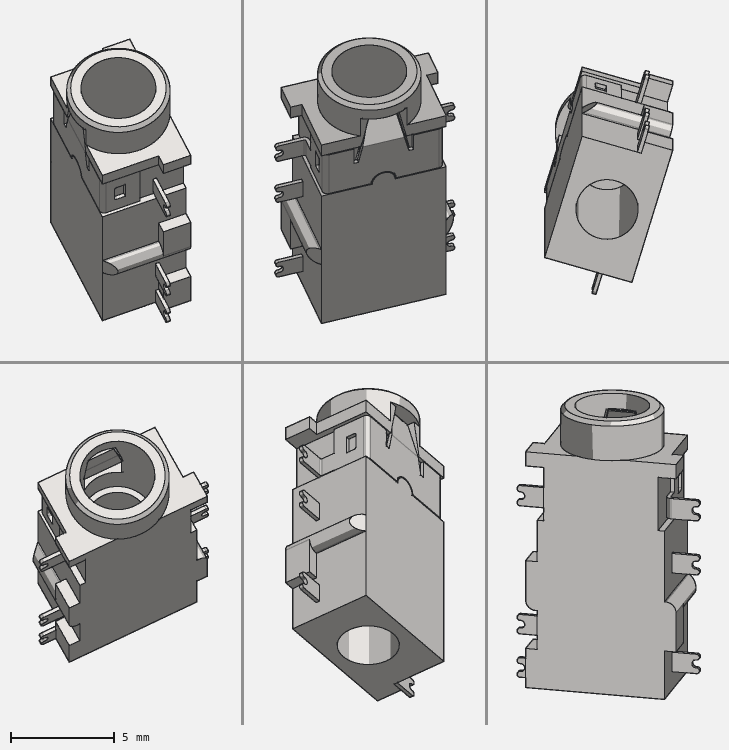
import cadquery as cq

TOTAL_HEIGHT = 14.0
BODY_HALF_WIDTH = 3.18
BODY_DEPTH = 4.4
BACK = BODY_DEPTH / 2
FRONT = -BACK
BLOCK_TOP = 8.6
FLANGE_BOTTOM = 11.31
FLANGE_TOP = 12.04
WING_HALF_WIDTH = 3.75
WING_FRONT = 0.75

BARREL_DIAMETER = 5.0
BARREL_RADIUS = BARREL_DIAMETER / 2
BARREL_CHAMFER = 0.2
FLAT_HALF_WIDTH = 1.2
FLAT_TOP = 13.2
BORE_RADIUS = 1.8
THROUGH_RADIUS = 1.5

RIB_CENTER_Z = 4.48
RIB_RADIUS = 0.5
LUG_HEIGHT = 2.0

BUMP_RADIUS = 0.59
BUMP_CLEARANCE = 0.05

SHEET = 0.2
CLIP_GAP = 0.05
CLIP_HALF_WIDTH = 3.05
CORE_HALF_WIDTH = CLIP_HALF_WIDTH - SHEET
CORE_FRONT = FRONT + SHEET
CLIP_BOTTOM = BLOCK_TOP + CLIP_GAP
CLIP_TOP = FLANGE_BOTTOM - CLIP_GAP
CLIP_BACK = -0.18
CLIP_CORNER_RADIUS = 0.25
WINDOW_BACK = -0.94
WINDOW_FRONT = -1.5
WINDOW_BOTTOM = 9.46
WINDOW_HEIGHT = 0.97
WINDOW_CORNER_RADIUS = 0.11

TONGUE_BOTTOM = 10.29
TONGUE_TIP = 13.12
TONGUE_BOTTOM_HALF_WIDTH = 1.29
TONGUE_TIP_HALF_WIDTH = 0.66
TONGUE_LEAN = 0.32
TONGUE_CLEARANCE = 0.08
SLOT_HALF_WIDTH = 1.51

TAB_TIP = 4.55
TAB_BACK = 0.78
TAB_FRONT = TAB_BACK - SHEET
NOTCH_RADIUS = 0.2
NOTCH_DEPTH = 0.38
PRONG_ROUNDING = 0.48
CLIP_TAB_BOTTOM = 8.75
CLIP_TAB_HEIGHT = 1.04
TAB_BEND_RADIUS = 0.07
TERMINAL_HEIGHT = 1.0
LEFT, RIGHT = -1, 1
TERMINALS = [
    (LEFT, 5.99),
    (LEFT, 0.95),
    (RIGHT, 2.21),
    (RIGHT, 0.0),
]


def block(x0, x1, y0, y1, z0, z1):
    """Box between two opposite corners."""
    return cq.Workplane("XY").box(x1 - x0, y1 - y0, z1 - z0, centered=False).translate((x0, y0, z0))


def mirrored(shape, side):
    """Shape built for +X, placed on the given side."""
    return shape if side == RIGHT else shape.mirror("YZ")


def extrude_y(sketch, y0, y1):
    """Extrude a closed XZ outline from y0 to y1."""
    return sketch.extrude(y0 - y1).translate((0, y0, 0))


def make_rib(side):
    """Round-edged rib along the housing side, its front end mitred at 45 degrees."""
    center_x = WING_HALF_WIDTH - RIB_RADIUS
    root = block(CORE_HALF_WIDTH, center_x, FRONT, BACK,
                 RIB_CENTER_Z - RIB_RADIUS, RIB_CENTER_Z + RIB_RADIUS)
    rib = extrude_y(cq.Workplane("XZ").center(center_x, RIB_CENTER_Z).circle(RIB_RADIUS), FRONT, BACK)
    projection = WING_HALF_WIDTH - BODY_HALF_WIDTH
    mitre = (
        cq.Workplane("XY")
        .moveTo(BODY_HALF_WIDTH, FRONT)
        .lineTo(WING_HALF_WIDTH, FRONT)
        .lineTo(WING_HALF_WIDTH, FRONT + projection)
        .close()
        .extrude(TOTAL_HEIGHT)
    )
    return mirrored(rib.union(root).cut(mitre), side)


def make_lug(side, bottom):
    """Square lug at the back of a housing side."""
    lug = block(CORE_HALF_WIDTH, WING_HALF_WIDTH, WING_FRONT, BACK, bottom, bottom + LUG_HEIGHT)
    return mirrored(lug, side)


def make_barrel():
    """Chamfered barrel with a flat at the front."""
    barrel = (
        cq.Workplane("XY", origin=(0, 0, FLANGE_TOP))
        .circle(BARREL_RADIUS)
        .extrude(TOTAL_HEIGHT - FLANGE_TOP)
        .faces(">Z").chamfer(BARREL_CHAMFER)
    )
    flat = block(-FLAT_HALF_WIDTH, FLAT_HALF_WIDTH, -BARREL_RADIUS, FRONT, FLANGE_TOP, FLAT_TOP)
    return barrel.cut(flat)


def bump_disc(radius):
    """Disc centred on the top front edge of the lower block, reaching back to the core."""
    return extrude_y(cq.Workplane("XZ").center(0, BLOCK_TOP).circle(radius), FRONT, CORE_FRONT)


def tongue_outline(clearance, top):
    """Trapezoid of the tongue, widened by a clearance and ending at the given height."""
    low = TONGUE_BOTTOM_HALF_WIDTH + clearance
    high = TONGUE_TIP_HALF_WIDTH + clearance
    return cq.Workplane("XZ").polyline(
        [(-low, TONGUE_BOTTOM), (low, TONGUE_BOTTOM), (high, top), (-high, top)]
    ).close()


def make_housing(embedded_terminals):
    """Whole housing, recessed wherever a terminal enters it."""
    lower = block(-BODY_HALF_WIDTH, BODY_HALF_WIDTH, FRONT, BACK, 0, BLOCK_TOP)
    core = block(-CORE_HALF_WIDTH, CORE_HALF_WIDTH, CORE_FRONT, BACK, BLOCK_TOP, FLANGE_BOTTOM)
    flange = block(-BODY_HALF_WIDTH, BODY_HALF_WIDTH, FRONT, BACK, FLANGE_BOTTOM, FLANGE_TOP)
    wings = block(-WING_HALF_WIDTH, WING_HALF_WIDTH, WING_FRONT, BACK, FLANGE_BOTTOM, FLANGE_TOP)
    housing = lower.union(core).union(flange).union(wings)
    housing = housing.union(make_barrel()).union(bump_disc(BUMP_RADIUS))

    for side in (LEFT, RIGHT):
        housing = housing.union(make_rib(side))
    lugs = [(LEFT, RIB_CENTER_Z - LUG_HEIGHT), (RIGHT, RIB_CENTER_Z), (RIGHT, 0.0)]
    for side, bottom in lugs:
        housing = housing.union(make_lug(side, bottom))

    bore = cq.Workplane("XY", origin=(0, 0, BLOCK_TOP)).circle(BORE_RADIUS).extrude(TOTAL_HEIGHT - BLOCK_TOP)
    through = cq.Workplane("XY").circle(THROUGH_RADIUS).extrude(BLOCK_TOP)
    pocket = extrude_y(tongue_outline(TONGUE_CLEARANCE, FLAT_TOP), FRONT, -THROUGH_RADIUS)
    housing = housing.cut(bore).cut(through).cut(pocket)
    for terminal in embedded_terminals:
        housing = housing.cut(terminal)
    return housing


def make_tab(side, root_x, bottom, height):
    """Flat solder tab with a round-bottomed notch and rounded prongs."""
    prong_radius = PRONG_ROUNDING * (height / 2 - NOTCH_RADIUS)
    middle = bottom + height / 2
    notch_center = TAB_TIP - NOTCH_DEPTH + NOTCH_RADIUS
    notch_bottom = cq.Workplane("XZ").center(notch_center, middle).circle(NOTCH_RADIUS)
    notch = extrude_y(notch_bottom, TAB_FRONT, TAB_BACK)
    notch = notch.union(block(notch_center, TAB_TIP, TAB_FRONT, TAB_BACK,
                              middle - NOTCH_RADIUS, middle + NOTCH_RADIUS))
    tab = block(root_x, TAB_TIP, TAB_FRONT, TAB_BACK, bottom, bottom + height).cut(notch)
    tab = tab.faces(">X").edges("|Y").fillet(prong_radius)
    return mirrored(tab, side)


def make_clip_arm(side):
    """Strip that runs back from the clip side and bends outward into a solder tab."""
    bend_x = CLIP_HALF_WIDTH + TAB_BEND_RADIUS
    bend_y = TAB_FRONT - TAB_BEND_RADIUS
    outer_radius = TAB_BEND_RADIUS + SHEET
    strip = block(CORE_HALF_WIDTH, CLIP_HALF_WIDTH, CLIP_BACK, bend_y,
                  CLIP_TAB_BOTTOM, CLIP_TAB_BOTTOM + CLIP_TAB_HEIGHT)
    bend = (
        cq.Workplane("XY", origin=(bend_x, bend_y, CLIP_TAB_BOTTOM))
        .circle(outer_radius)
        .circle(TAB_BEND_RADIUS)
        .extrude(CLIP_TAB_HEIGHT)
    )
    quarter = block(CORE_HALF_WIDTH, bend_x, bend_y, TAB_BACK, BLOCK_TOP, FLANGE_BOTTOM)
    arm = mirrored(strip.union(bend.intersect(quarter)), side)
    return arm.union(make_tab(side, bend_x, CLIP_TAB_BOTTOM, CLIP_TAB_HEIGHT))


def make_tongue():
    """Tapered spring tongue leaning inward above the clip."""
    lean = (
        cq.Workplane("YZ")
        .polyline([
            (FRONT, TONGUE_BOTTOM),
            (FRONT, CLIP_TOP),
            (FRONT + TONGUE_LEAN, TONGUE_TIP),
            (FRONT + TONGUE_LEAN + SHEET, TONGUE_TIP),
            (CORE_FRONT, CLIP_TOP),
            (CORE_FRONT, TONGUE_BOTTOM),
        ])
        .close()
        .extrude(SLOT_HALF_WIDTH, both=True)
    )
    return lean.intersect(extrude_y(tongue_outline(0, TONGUE_TIP), FRONT, 0))


def make_clip():
    """U-shaped sheet clip around the core, with tongue, windows and one solder tab."""
    outer = block(-CLIP_HALF_WIDTH, CLIP_HALF_WIDTH, FRONT, CLIP_BACK, CLIP_BOTTOM, CLIP_TOP)
    outer = outer.faces("<Y").edges("|Z").fillet(CLIP_CORNER_RADIUS)
    inside = block(-CORE_HALF_WIDTH, CORE_HALF_WIDTH, CORE_FRONT, CLIP_BACK, CLIP_BOTTOM, CLIP_TOP)
    slot = block(-SLOT_HALF_WIDTH, SLOT_HALF_WIDTH, FRONT, CORE_FRONT, TONGUE_BOTTOM, CLIP_TOP)
    window = block(-CLIP_HALF_WIDTH, CLIP_HALF_WIDTH, WINDOW_FRONT, WINDOW_BACK,
                   WINDOW_BOTTOM, WINDOW_BOTTOM + WINDOW_HEIGHT)
    window = window.faces("<Y").edges("|X").fillet(WINDOW_CORNER_RADIUS)
    clip = outer.cut(inside).cut(slot).cut(window)
    clip = clip.cut(bump_disc(BUMP_RADIUS + BUMP_CLEARANCE)).union(make_tongue())
    return clip.union(make_clip_arm(LEFT))


clip = make_clip()
core_terminal = make_tab(RIGHT, CORE_HALF_WIDTH, CLIP_TAB_BOTTOM, CLIP_TAB_HEIGHT)
terminals = [make_tab(side, BODY_HALF_WIDTH, bottom, TERMINAL_HEIGHT) for side, bottom in TERMINALS]
housing = make_housing(terminals)

result = cq.Compound.makeCompound(
    [housing.val(), clip.val(), core_terminal.val(), *[terminal.val() for terminal in terminals]]
)